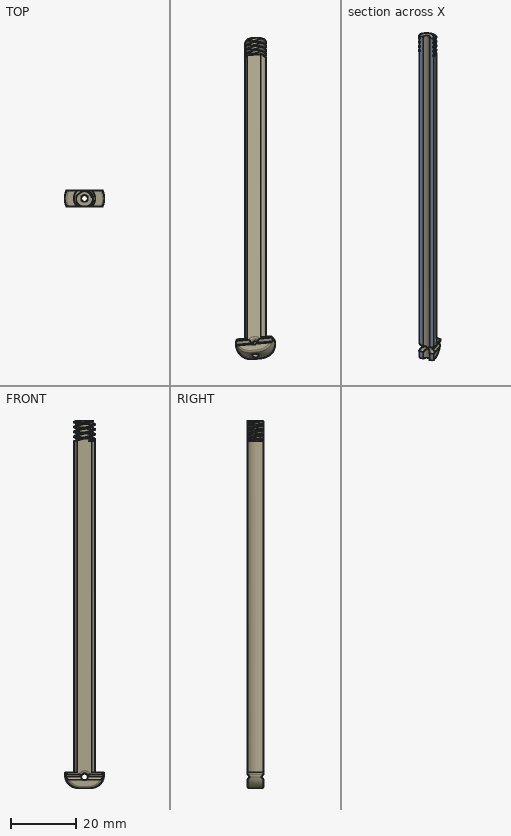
import cadquery as cq
import math

thickness = 5.0
head_height = 5.0
rod_length = 101.8
thread_length = 6.3

rod_radius = 3.3
bore_diameter = 2.0

head_radius = 6.1
head_top_fillet = 0.6
head_bottom_fillet = 4.3
head_side_fillet = 0.6

passage_diameter = 2.0
passage_z = 3.5
passage_flare = 1.0
groove_depth = 0.7
groove_half_height = 0.85

pitch = 1.5
thread_root_radius = 2.2
thread_crest_width = 0.1
thread_root_width = 0.2
groove_overrun = 0.1
turns_past_tip = 2
top_crest_drop = 0.45
tip_radius = 2.6
tip_chamfer_height = 0.4

shoulder_z = head_height + rod_length
rod_foot_z = head_height / 2
total_height = shoulder_z + thread_length
half_thickness = thickness / 2


def make_slab(half_width, bottom_z, top_z):
    """Block that reaches from one flat to the other."""
    return (
        cq.Workplane("XY")
        .workplane(offset=bottom_z)
        .rect(2 * half_width, thickness)
        .extrude(top_z - bottom_z)
    )


def make_round(bottom_z, top_z):
    """Round bar of the rod's full diameter."""
    return cq.Workplane("XY").workplane(offset=bottom_z).circle(rod_radius).extrude(top_z - bottom_z)


def make_shaft():
    """Bar with two flats, from inside the head up to the shoulder."""
    return make_round(rod_foot_z, shoulder_z).intersect(make_slab(rod_radius, rod_foot_z, shoulder_z))


def make_thread():
    """Threaded end, with a chamfered tip and the same flats as the shaft."""
    bar = make_round(shoulder_z, total_height)
    envelope = bar.faces(">Z").chamfer(tip_chamfer_height, rod_radius - tip_radius)
    envelope = envelope.intersect(make_slab(rod_radius, shoulder_z, total_height))
    return bar.cut(make_thread_groove()).intersect(envelope)


def make_thread_groove():
    """Helical V groove that runs out past both ends of the thread."""
    outer_radius = rod_radius + groove_overrun
    half_root = thread_root_width / 2
    half_mouth = (pitch - thread_crest_width) / 2

    turns_below_tip = math.ceil(thread_length / pitch)
    start_z = total_height - top_crest_drop - (turns_below_tip - 0.5) * pitch
    turns = turns_below_tip + turns_past_tip
    helix = cq.Wire.makeHelix(pitch, turns * pitch, thread_root_radius)
    return (
        cq.Workplane("XZ")
        .moveTo(thread_root_radius, -half_root)
        .lineTo(outer_radius, -half_mouth)
        .lineTo(outer_radius, half_mouth)
        .lineTo(thread_root_radius, half_root)
        .close()
        .sweep(cq.Workplane(helix), isFrenet=True)
        .rotate((0, 0, 0), (0, 0, 1), 180)
        .translate((0, 0, start_z))
    )


def make_head():
    """Button with rounded rims, trimmed to the flats and filleted along them below the grooves."""
    button = cq.Workplane("XY").circle(head_radius).extrude(head_height)
    button = button.faces(">Z").edges().fillet(head_top_fillet)
    button = button.faces("<Z").edges().fillet(head_bottom_fillet)

    upper = button.intersect(make_slab(head_radius, passage_z, head_height))
    lower = button.intersect(make_slab(head_radius, 0, passage_z))
    lower = lower.faces("<Y or >Y").edges("not >Z").fillet(head_side_fillet)
    return upper.union(lower)


def make_side_groove(side):
    """V groove along X in the flat on one side (side is +1 or -1)."""
    return (
        cq.Workplane("YZ")
        .moveTo(side * half_thickness, passage_z - groove_half_height)
        .lineTo(side * (half_thickness - groove_depth), passage_z)
        .lineTo(side * half_thickness, passage_z + groove_half_height)
        .close()
        .extrude(2 * head_radius, both=True)
    )


def make_passage():
    """Round hole along Y whose upper lip is rounded at both flats."""
    radius = passage_diameter / 2
    mouth_radius = radius + passage_flare
    flare_start = half_thickness - passage_flare
    bend = passage_flare * math.sqrt(0.5)
    flared_upper_half = (
        cq.Workplane("XY")
        .moveTo(0, -half_thickness)
        .lineTo(mouth_radius, -half_thickness)
        .threePointArc((mouth_radius - bend, -flare_start - bend), (radius, -flare_start))
        .lineTo(radius, flare_start)
        .threePointArc((mouth_radius - bend, flare_start + bend), (mouth_radius, half_thickness))
        .lineTo(0, half_thickness)
        .close()
        .revolve(180, (0, 0), (0, -1))
    )
    hole = cq.Workplane("XZ").circle(radius).extrude(half_thickness, both=True)
    return hole.union(flared_upper_half).translate((0, 0, passage_z))


def make_bore():
    """Round hole along the whole axis."""
    return cq.Workplane("XY").circle(bore_diameter / 2).extrude(total_height)


part = make_shaft().union(make_head())
for side in (1, -1):
    part = part.cut(make_side_groove(side))
result = part.cut(make_passage()).union(make_thread()).cut(make_bore())